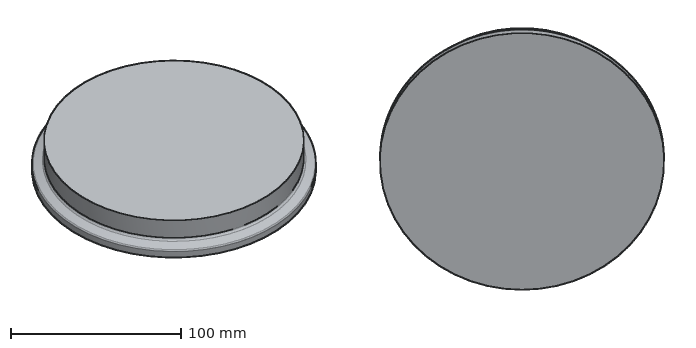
import cadquery as cq
import math

flange_radius = 83.5
body_radius = 76.3
total_height = 22.2
rim_height = 4.7
rim_round = 1.0
slope_angle = 20.0
root_fillet = 1.7

slope_height = (flange_radius - body_radius) * math.tan(math.radians(slope_angle))
slope_start = rim_height + rim_round * math.tan(math.radians((90 - slope_angle) / 2))
slope_end = slope_start + slope_height

profile = (
    cq.Workplane("XZ")
    .moveTo(0, 0)
    .lineTo(flange_radius, 0)
    .lineTo(flange_radius, slope_start)
    .lineTo(body_radius, slope_end)
    .lineTo(body_radius, total_height)
    .lineTo(0, total_height)
    .close()
)
blank = profile.revolve(360, (0, 0, 0), (0, 1, 0))


def round_circle(solid, radius, height, fillet):
    """Fillet the circular edge of the given radius at the given height."""
    tolerance = 0.02
    reach = radius + tolerance
    edges = cq.selectors.BoxSelector(
        (-reach, -reach, height - tolerance),
        (reach, reach, height + tolerance),
        boundingbox=True,
    )
    return solid.edges(edges).fillet(fillet)


rounded_rim = round_circle(blank, flange_radius, slope_start, rim_round)
result = round_circle(rounded_rim, body_radius, slope_end, root_fillet)